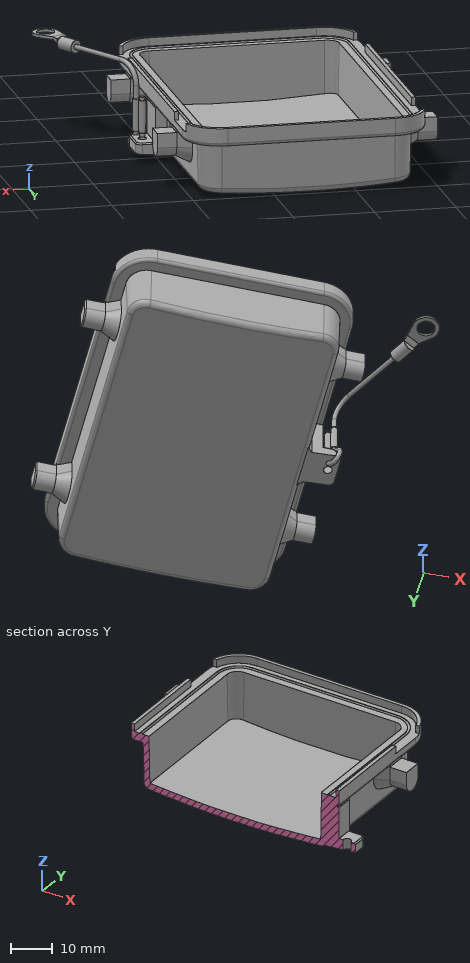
import cadquery as cq
import math

flange_x, flange_y = 59.4, 85.5
flange_corner = 9.1
flange_thick = 2.4
flange_edge_round = 0.8

lip_top = 4.5
lip_wall = 1.0
notch_inner_y, notch_outer_y = 25.0, 35.9

bead_inset = 2.9
bead_radius = 0.35

body_x, body_y = 52.6, 78.9
body_corner = 5.0
body_depth = 13.7
body_taper = 1.5
bottom_bow_radius = 259.6
bottom_round = 1.5
floor_thick = 2.0

cavity_x, cavity_y = 49.0, 74.95
cavity_taper = 1.0
cavity_corner = 2.9

pin_y = 24.9
pin_radius = 2.6
pin_axis_z = -3.6
pin_end_left, pin_end_right = -34.8, 34.4
pin_end_chamfer = 0.35
pin_root_radius = 4.5
pin_root_x = 26.0
pin_root_top = 0.7

tab_end_x = 34.3
tab_width = 9.0
tab_top = -8.65
tab_bottom_root, tab_bottom_end = -12.1, -11.3
tab_corner = 1.4
tab_top_chamfer = 0.35
tab_root_x = 25.1
tab_flare_x = 26.8
tab_hole_x = 31.85
tab_hole_diameter = 2.1

cable_radius = 0.65
cable_x, cable_y = 32.5, -3.6
cable_angle = 60.0
cable_level_z = 8.9
cable_bend = 5.2
tail_offset = 2.2
tail_top_z = 1.2
loop_radius = 2.1
loop_axis_z = -10.6
ferrule_bottom_z, ferrule_top_z = -7.7, 0.35
ferrule_radius = 0.9

barrel_start, barrel_end = 21.1, 26.05
barrel_radius = 1.65
neck_end = 27.35
neck_width = 3.8
ring_distance = 31.85
ring_radius = 3.3
ring_hole_diameter = 4.3
ring_thick = 0.8
neck_top_drop = 0.35
neck_bottom_drop = 0.8


def rounded_block(size_x, size_y, corner, bottom, top):
    """Upright block with rounded vertical edges."""
    block = cq.Workplane("XY").workplane(offset=bottom).rect(size_x, size_y).extrude(top - bottom)
    return block.edges("|Z").fillet(corner)


def tapered_block(size_x, size_y, corner, top, depth, taper):
    """Rounded block hanging down from the given height, with sides leaning in by the taper angle."""
    outline = cq.Sketch().rect(size_x, size_y).vertices().fillet(corner)
    return cq.Workplane("XY").workplane(offset=top).placeSketch(outline).extrude(-depth, taper=taper)


def bowed_cut(block, lowest_z):
    """Keep the part of the block above an arched surface running along Y."""
    bow = (
        cq.Workplane("XZ")
        .center(0, lowest_z + bottom_bow_radius)
        .circle(bottom_bow_radius)
        .extrude(flange_y, both=True)
    )
    return block.intersect(bow)


def make_tray():
    """Flange with its full lip, joined to the solid body below it."""
    flange = rounded_block(flange_x, flange_y, flange_corner, 0, lip_top)
    flange = flange.faces("<Z").edges().fillet(flange_edge_round)
    lip_hollow = rounded_block(
        flange_x - 2 * lip_wall, flange_y - 2 * lip_wall, flange_corner - lip_wall, flange_thick, lip_top
    )
    body = bowed_cut(tapered_block(body_x, body_y, body_corner, 0, body_depth, body_taper), -body_depth)
    body = body.faces("<Z").edges().fillet(bottom_round)
    return flange.cut(lip_hollow).union(body)


def make_cavity():
    depth = flange_thick + body_depth
    cavity = tapered_block(cavity_x, cavity_y, cavity_corner, flange_thick, depth, cavity_taper)
    return bowed_cut(cavity, floor_thick - body_depth)


def cut_notches(tray):
    notch_height = lip_top - flange_thick
    for side_y in (-1, 1):
        notch_y = side_y * (notch_inner_y + notch_outer_y) / 2
        notch_length = notch_outer_y - notch_inner_y
        cutter = cq.Workplane("XY").box(flange_x, notch_length, notch_height, centered=(True, True, False))
        tray = tray.cut(cutter.translate((0, notch_y, flange_thick)))
    return tray


def make_bead():
    """Round cord following the flange outline, half sunk into the flange floor."""
    bead_loop = rounded_block(
        flange_x - 2 * bead_inset, flange_y - 2 * bead_inset, flange_corner - bead_inset, 0, flange_thick
    )
    path = bead_loop.faces(">Z").wires()
    loop_wire = path.val()
    section = cq.Plane(origin=loop_wire.startPoint(), normal=loop_wire.tangentAt(0))
    return cq.Workplane(section).circle(bead_radius).sweep(path)


def pin_profile(plane, y, radius, top):
    """U-shaped outline of a pin, drawn on a YZ plane."""
    return (
        plane.moveTo(y - radius, top)
        .lineTo(y - radius, pin_axis_z)
        .threePointArc((y, pin_axis_z - radius), (y + radius, pin_axis_z))
        .lineTo(y + radius, top)
        .close()
    )


def make_pin(side, end_x, y):
    """Pin standing out past the flange edge, on a root that widens towards the tray wall."""
    edge_x = side * flange_x / 2
    edge_plane = cq.Workplane("YZ", origin=(edge_x, 0, 0))
    shaft = pin_profile(edge_plane, y, pin_radius, 0).extrude(end_x - edge_x)
    if side < 0:
        shaft = shaft.faces("<X").chamfer(pin_end_chamfer)
    root_run = side * pin_root_x - edge_x
    root = pin_profile(edge_plane, y, pin_radius, pin_root_top).workplane(offset=root_run)
    root = pin_profile(root, y, pin_root_radius, pin_root_top).loft(ruled=True)
    return shaft.union(root)


def make_tab():
    edge_x = flange_x / 2
    side = (
        cq.Workplane("XZ")
        .polyline([
            (tab_root_x, 0),
            (edge_x, 0),
            (edge_x, tab_top),
            (tab_end_x, tab_top),
            (tab_end_x, tab_bottom_end),
            (tab_root_x, tab_bottom_root),
        ])
        .close()
        .extrude(tab_width, both=True)
    )
    half_width = tab_width / 2
    flare_half = half_width + tab_flare_x - tab_root_x
    plan = (
        cq.Workplane("XY")
        .polyline([
            (tab_root_x, -flare_half),
            (tab_flare_x, -half_width),
            (tab_end_x, -half_width),
            (tab_end_x, half_width),
            (tab_flare_x, half_width),
            (tab_root_x, flare_half),
        ])
        .close()
        .extrude(-body_depth)
        .edges("|Z and >X")
        .fillet(tab_corner)
    )
    tab = side.intersect(plan)
    top_face = tab.faces(cq.NearestToPointSelector((tab_hole_x, 0, tab_top)))
    tab = top_face.edges("not <X").chamfer(tab_top_chamfer)
    hole = cq.Workplane("XY").center(tab_hole_x, 0).circle(tab_hole_diameter / 2).extrude(-body_depth)
    return tab.cut(hole)


def cable_plane():
    """Upright plane of the cable: local x runs outward, local y runs up."""
    out_x = math.cos(math.radians(cable_angle))
    out_y = -math.sin(math.radians(cable_angle))
    return cq.Plane(origin=(cable_x, cable_y, 0), xDir=(out_x, out_y, 0), normal=(out_y, -out_x, 0))


def make_cable():
    """Tail down through the tab, loop under its edge, up through the ferrule, then level outward."""
    loop_out = 2 * loop_radius - tail_offset
    bend_mid = cable_bend * math.sqrt(0.5)
    bend_start_z = cable_level_z - cable_bend
    path = (
        cq.Workplane(cable_plane())
        .moveTo(-tail_offset, tail_top_z)
        .lineTo(-tail_offset, loop_axis_z)
        .threePointArc((loop_radius - tail_offset, loop_axis_z - loop_radius), (loop_out, loop_axis_z))
        .spline([(0, ferrule_bottom_z)], tangents=[(0, 1), (0, 1)], includeCurrent=True)
        .lineTo(0, bend_start_z)
        .threePointArc((cable_bend - bend_mid, bend_start_z + bend_mid), (cable_bend, cable_level_z))
        .lineTo(barrel_start + barrel_radius, cable_level_z)
    )
    tail_end = cable_plane().toWorldCoords((-tail_offset, tail_top_z, 0))
    return cq.Workplane("XY", origin=tail_end).circle(cable_radius).sweep(path)


def make_ferrule():
    strands = [cable_plane().toWorldCoords((offset, 0, 0)) for offset in (-tail_offset, 0)]
    return (
        cq.Workplane("XY")
        .workplane(offset=ferrule_bottom_z)
        .pushPoints([(point.x, point.y) for point in strands])
        .circle(ferrule_radius)
        .extrude(ferrule_top_z - ferrule_bottom_z)
    )


def make_terminal():
    top = cable_level_z + barrel_radius
    plane = cable_plane()
    axis = plane.xDir
    start = plane.toWorldCoords((barrel_start, cable_level_z, 0))
    barrel = (
        cq.Workplane(cq.Plane(origin=start, xDir=(0, 0, 1), normal=axis))
        .circle(barrel_radius)
        .extrude(barrel_end - barrel_start)
    )

    flank_run = ring_distance - neck_end
    flank_reach = math.hypot(flank_run, neck_width / 2)
    tangent_angle = math.pi - math.atan2(neck_width / 2, flank_run) - math.acos(ring_radius / flank_reach)
    tangent_x = ring_distance + ring_radius * math.cos(tangent_angle)
    tangent_y = ring_radius * math.sin(tangent_angle)
    level = cq.Plane(origin=plane.toWorldCoords((0, top, 0)), xDir=axis, normal=(0, 0, 1))
    plate = (
        cq.Workplane(level)
        .moveTo(barrel_end, -barrel_radius)
        .lineTo(neck_end, -neck_width / 2)
        .lineTo(tangent_x, -tangent_y)
        .threePointArc((ring_distance + ring_radius, 0), (tangent_x, tangent_y))
        .lineTo(neck_end, neck_width / 2)
        .lineTo(barrel_end, barrel_radius)
        .close()
        .extrude(-ring_thick - neck_bottom_drop)
        .faces(">Z")
        .workplane(origin=level.toWorldCoords((ring_distance, 0, 0)))
        .hole(ring_hole_diameter)
    )

    plate_end = ring_distance + ring_radius
    side = (
        cq.Workplane(plane)
        .polyline([
            (barrel_end, top - neck_top_drop),
            (neck_end, top),
            (plate_end, top),
            (plate_end, top - ring_thick),
            (neck_end, top - ring_thick),
            (barrel_end, top - ring_thick - neck_bottom_drop),
        ])
        .close()
        .extrude(ring_radius, both=True)
    )
    return barrel.union(plate.intersect(side))


result = cut_notches(make_tray()).union(make_bead())
for pin_side, pin_end in ((-1, pin_end_left), (1, pin_end_right)):
    for y_sign in (-1, 1):
        result = result.union(make_pin(pin_side, pin_end, y_sign * pin_y))
result = result.union(make_tab()).cut(make_cavity())
result = result.union(make_cable()).union(make_ferrule()).union(make_terminal())